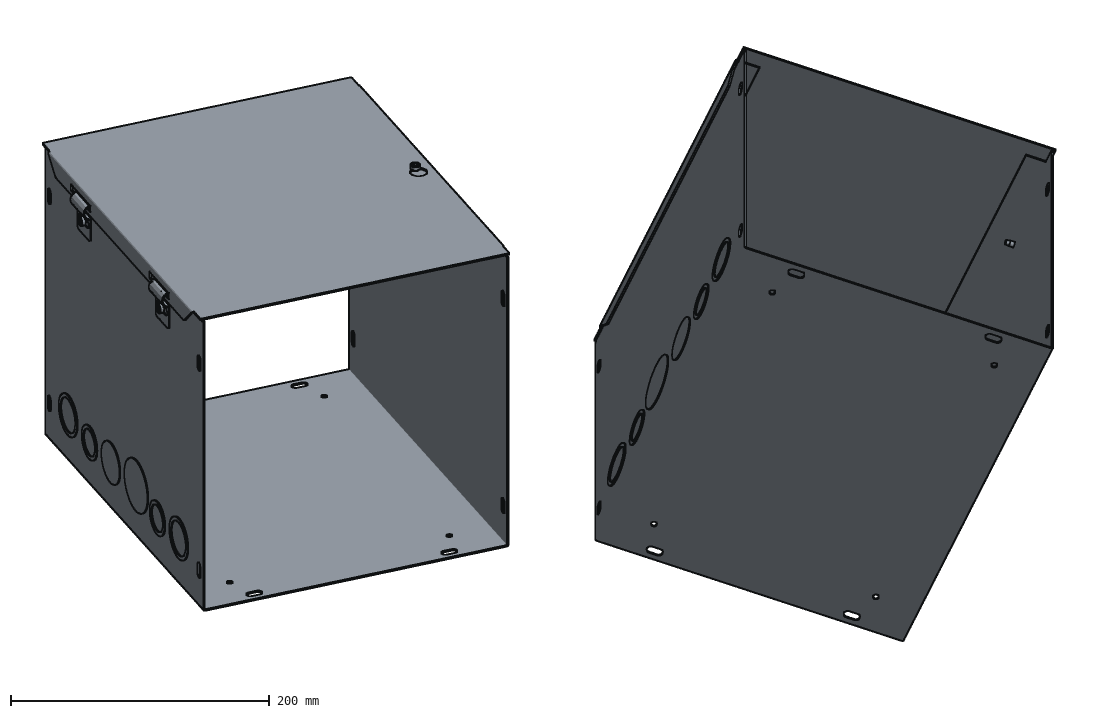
import cadquery as cq
import math

WIDTH = 304.8
BASE_DEPTH = 258.0
SHEET = 1.5
BEND = 2.0

LID_TOP = 259.5
LID_FLANGE_DROP = 16.0
LID_FLANGE_INSET = 12.8
LID_BACK_GAP = 0.5
LID_FRONT_GAP = 2.0

RETURN_DEPTH = 17.7
RETURN_INSET = 12.2

SLOT_WIDTH = 6.5
SLOT_LENGTH = 13.0
SLOT_END_DISTANCE = 8.0
WALL_SLOT_HEIGHTS = (32.3, 215.5)
FLOOR_SLOT_Y = 82.3
FLOOR_HOLE_DIAMETER = 4.5
FLOOR_HOLE_X = 120.7
FLOOR_HOLE_Y = 92.7

KNOCKOUT_BOTTOM = 23.8
KNOCKOUT_RAISE = 1.0
KNOCKOUTS = (
    (-106.7, (35.0, 28.5)),
    (-65.5, (28.5, 22.3)),
    (-24.5, (35.0,)),
    (24.7, (44.5,)),
    (65.5, (28.5, 22.3)),
    (106.7, (35.0, 28.5)),
)

SCREW_HEAD_DIAMETER = 8.0
SCREW_HEAD_HEIGHT = 3.7
SCREW_HEAD_CHAMFER = 0.75
SCREW_SHANK_DIAMETER = 4.5
SCREW_SHANK_LENGTH = 9.0
SCREW_TIP_DIAMETER = 4.0
SCREW_TIP_LENGTH = 3.0
SCREW_SOCKET_DIAMETER = 4.0
SCREW_SOCKET_DEPTH = 1.8

LID_SCREW_Y = 116.7
LID_SCREW_COLLAR_HEIGHT = 1.5
KEYHOLE_DIAMETER = 13.5
KEYHOLE_OFFSET = 6.5

CLIP_X = 75.5
CLIP_WIDTH = 25.3
CLIP_THICKNESS = 1.0
CLIP_BOTTOM = 216.7
CLIP_CORNER_RADIUS = 3.0
CLIP_HOOK_RADIUS = 6.7
CLIP_HOOK_CENTRE_Z = 243.0
CLIP_TIP_ANGLE = 75.0
CLIP_SLOT_LENGTH = 19.2
CLIP_SLOT_WIDTH = 6.5
CLIP_SCREW_Z = 229.5

LATCH_SLOT_LENGTH = 37.2
LATCH_SLOT_BOTTOM = 247.2
LATCH_SLOT_TOP = 252.7

BASE_HEIGHT = LID_TOP - SHEET
WALL_Y = BASE_DEPTH / 2
SLOT_X = WIDTH / 2 - SLOT_END_DISTANCE
LID_BACK_Y = WALL_Y + LID_BACK_GAP + SHEET
LID_FRONT_Y = -WALL_Y - LID_FRONT_GAP - SHEET
CLIP_FACE_Y = -WALL_Y - CLIP_THICKNESS


def box_between(x_range, y_range, z_range):
    """Axis-aligned block between the given limits."""
    size = [high - low for low, high in (x_range, y_range, z_range)]
    low_corner = (x_range[0], y_range[0], z_range[0])
    return cq.Workplane("XY").box(*size, centered=False).translate(low_corner)


def sheet_block(y_range, z_range, radius):
    """Block over the full width whose long edges are rounded."""
    block = box_between((-WIDTH / 2, WIDTH / 2), y_range, z_range)
    return block.edges("|X").fillet(radius)


def cylinder_y(x, z, y_start, y_end, diameter):
    """Cylinder along Y from y_start to y_end."""
    profile = cq.Workplane("XZ", origin=(x, y_start, z)).circle(diameter / 2)
    return profile.extrude(y_start - y_end)


def wall_slots():
    """Upright slots running through both walls."""
    centres = [(side * SLOT_X, z) for side in (-1, 1) for z in WALL_SLOT_HEIGHTS]
    slots = cq.Workplane("XZ").pushPoints(centres).slot2D(SLOT_LENGTH, SLOT_WIDTH, 90)
    return slots.extrude(BASE_DEPTH, both=True)


def floor_openings():
    """Slots and small round holes through the floor, alike in all four corners."""
    sides = [(x, y) for x in (-1, 1) for y in (-1, 1)]
    slot_centres = [(x * SLOT_X, y * FLOOR_SLOT_Y) for x, y in sides]
    hole_centres = [(x * FLOOR_HOLE_X, y * FLOOR_HOLE_Y) for x, y in sides]
    slots = cq.Workplane("XY").pushPoints(slot_centres).slot2D(SLOT_LENGTH, SLOT_WIDTH, 90)
    holes = cq.Workplane("XY").pushPoints(hole_centres).circle(FLOOR_HOLE_DIAMETER / 2)
    return slots.extrude(SHEET).union(holes.extrude(SHEET))


def knockout(x, diameters, side):
    """Low disc or ring standing out of the wall on the given side (-1 front, 1 back)."""
    centre_z = KNOCKOUT_BOTTOM + diameters[0] / 2
    face_y = side * WALL_Y
    raised_y = side * (WALL_Y + KNOCKOUT_RAISE)
    disc = cylinder_y(x, centre_z, face_y, raised_y, diameters[0])
    for inner_diameter in diameters[1:]:
        disc = disc.cut(cylinder_y(x, centre_z, face_y, raised_y, inner_diameter))
    return disc


def make_base():
    outside = sheet_block((-WALL_Y, WALL_Y), (0, BASE_HEIGHT), BEND)
    inside_y = WALL_Y - SHEET
    inside = sheet_block((-inside_y, inside_y), (SHEET, BASE_HEIGHT - SHEET), BEND - SHEET)
    base = outside.cut(inside)

    opening_y = WALL_Y - RETURN_DEPTH
    top_zone = (BASE_HEIGHT - BEND, BASE_HEIGHT)
    base = base.cut(box_between((-WIDTH / 2, WIDTH / 2), (-opening_y, opening_y), top_zone))

    for end in (-1, 1):
        end_range = sorted((end * WIDTH / 2, end * (WIDTH / 2 - RETURN_INSET)))
        base = base.cut(box_between(end_range, (-WALL_Y, WALL_Y), top_zone))

    base = base.cut(wall_slots()).cut(floor_openings())
    for x, diameters in KNOCKOUTS:
        for side in (-1, 1):
            base = base.union(knockout(x, diameters, side))

    collar_plane = cq.Workplane("XY", origin=(0, LID_SCREW_Y, BASE_HEIGHT - SHEET))
    base = base.union(collar_plane.circle(SCREW_HEAD_DIAMETER / 2).extrude(-LID_SCREW_COLLAR_HEIGHT))

    lid_screw_hole = cq.Workplane("XY", origin=(0, LID_SCREW_Y, LID_TOP)).circle(SCREW_SHANK_DIAMETER / 2)
    base = base.cut(lid_screw_hole.extrude(-SCREW_SHANK_LENGTH))
    for side in (-1, 1):
        hole = cylinder_y(side * CLIP_X, CLIP_SCREW_Z, -WALL_Y, -inside_y, SCREW_SHANK_DIAMETER)
        base = base.cut(hole)
    return base


def lid_end_trim(end):
    """Material removed at one end of the flanges: sides slope at 45 degrees."""
    bottom = LID_TOP - LID_FLANGE_DROP
    outer_x = end * WIDTH / 2
    top_x = end * (WIDTH / 2 - LID_FLANGE_INSET)
    bottom_x = end * (WIDTH / 2 - LID_FLANGE_INSET - LID_FLANGE_DROP)
    outline = [(outer_x, LID_TOP), (top_x, LID_TOP), (bottom_x, bottom), (outer_x, bottom)]
    trims = cq.Workplane("XY")
    for y_start in (LID_FRONT_Y + SHEET, LID_BACK_Y):
        trims = trims.union(
            cq.Workplane("XZ", origin=(0, y_start, 0)).polyline(outline).close().extrude(SHEET)
        )
    return trims


def make_lid():
    bottom = LID_TOP - LID_FLANGE_DROP
    outside = box_between((-WIDTH / 2, WIDTH / 2), (LID_FRONT_Y, LID_BACK_Y), (bottom, LID_TOP))
    outside = outside.edges("|X and >Z").fillet(BEND)
    inside_y = (LID_FRONT_Y + SHEET, LID_BACK_Y - SHEET)
    inside = box_between((-WIDTH / 2, WIDTH / 2), inside_y, (bottom, LID_TOP - SHEET))
    lid = outside.cut(inside)
    for end in (-1, 1):
        lid = lid.cut(lid_end_trim(end))

    half_slot = LATCH_SLOT_LENGTH / 2
    for side in (-1, 1):
        x_range = (side * CLIP_X - half_slot, side * CLIP_X + half_slot)
        y_range = (LID_FRONT_Y, LID_FRONT_Y + SHEET)
        lid = lid.cut(box_between(x_range, y_range, (LATCH_SLOT_BOTTOM, LATCH_SLOT_TOP)))

    plane = cq.Workplane("XY", origin=(0, LID_SCREW_Y, LID_TOP))
    entry = plane.center(KEYHOLE_OFFSET, 0).circle(KEYHOLE_DIAMETER / 2).extrude(-SHEET)
    neck_length = KEYHOLE_OFFSET + SCREW_SHANK_DIAMETER
    neck = plane.center(KEYHOLE_OFFSET / 2, 0).slot2D(neck_length, SCREW_SHANK_DIAMETER).extrude(-SHEET)
    return lid.cut(entry).cut(neck)


def make_clip(x):
    leaf_top = CLIP_HOOK_CENTRE_Z - CLIP_HOOK_RADIUS + CLIP_THICKNESS
    half_width = CLIP_WIDTH / 2
    leaf = box_between((-half_width, half_width), (CLIP_FACE_Y, -WALL_Y), (CLIP_BOTTOM, leaf_top))
    leaf = leaf.edges("|Y and <Z").fillet(CLIP_CORNER_RADIUS)

    tip_angle = math.radians(CLIP_TIP_ANGLE)
    tip_y = -math.cos(tip_angle)
    tip_z = math.sin(tip_angle)
    outer = CLIP_HOOK_RADIUS
    inner = CLIP_HOOK_RADIUS - CLIP_THICKNESS
    hook = (
        cq.Workplane("YZ", origin=(-half_width, -WALL_Y, CLIP_HOOK_CENTRE_Z))
        .moveTo(0, -outer)
        .threePointArc((-outer, 0), (outer * tip_y, outer * tip_z))
        .lineTo(inner * tip_y, inner * tip_z)
        .threePointArc((-inner, 0), (0, -inner))
        .close()
        .extrude(CLIP_WIDTH)
    )
    slot = (
        cq.Workplane("XZ", origin=(0, -WALL_Y, CLIP_SCREW_Z))
        .slot2D(CLIP_SLOT_LENGTH, CLIP_SLOT_WIDTH)
        .extrude(CLIP_THICKNESS)
    )
    return leaf.union(hook).cut(slot).translate((x, 0, 0))


def make_screw():
    """Upright screw with the underside of its head at the origin."""
    head = cq.Workplane("XY").circle(SCREW_HEAD_DIAMETER / 2).extrude(SCREW_HEAD_HEIGHT)
    head = head.faces(">Z").chamfer(SCREW_HEAD_CHAMFER)
    neck_length = SCREW_SHANK_LENGTH - SCREW_TIP_LENGTH
    neck = cq.Workplane("XY").circle(SCREW_SHANK_DIAMETER / 2).extrude(-neck_length)
    tip = cq.Workplane("XY").circle(SCREW_TIP_DIAMETER / 2).extrude(-SCREW_SHANK_LENGTH)
    socket = (
        cq.Workplane("XY", origin=(0, 0, SCREW_HEAD_HEIGHT))
        .polygon(6, SCREW_SOCKET_DIAMETER)
        .extrude(-SCREW_SOCKET_DEPTH)
    )
    return head.union(neck).union(tip).cut(socket)


def make_clip_screw(x):
    """Screw lying along Y with its head in front of a clip."""
    lying = make_screw().rotate((0, 0, 0), (1, 0, 0), 90)
    return lying.translate((x, CLIP_FACE_Y, CLIP_SCREW_Z))


base = make_base()
lid = make_lid()
lid_screw = make_screw().translate((0, LID_SCREW_Y, LID_TOP))
clips = [make_clip(side * CLIP_X) for side in (-1, 1)]
clip_screws = [make_clip_screw(side * CLIP_X) for side in (-1, 1)]

bodies = [base, lid, lid_screw, *clips, *clip_screws]
result = cq.Compound.makeCompound([body.val() for body in bodies])